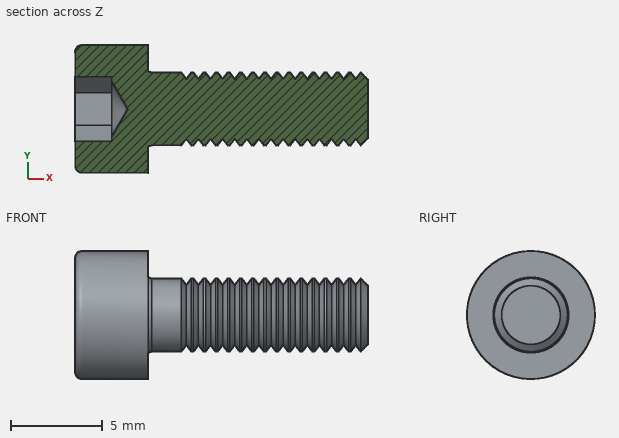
import cadquery as cq
import math

total_length = 16.0
head_diameter = 7.0
head_length = 4.0
head_edge_radius = 0.4
shank_diameter = 4.0

neck_length = 0.2
neck_flare = 0.06

groove_count = 15
first_groove_x = 6.08
groove_depth = 0.35
groove_half_width = 0.27
tip_chamfer = 0.4

socket_across_flats = 3.04
socket_depth = 2.0
socket_cone_angle = 120.0

head_radius = head_diameter / 2
shank_radius = shank_diameter / 2
root_radius = shank_radius - groove_depth
last_groove_x = total_length - tip_chamfer - groove_half_width
groove_pitch = (last_groove_x - first_groove_x) / (groove_count - 1)


def make_head():
    """Cylindrical head with a rounded outer edge."""
    head = cq.Workplane("YZ").circle(head_radius).extrude(head_length)
    return head.faces("<X").edges().fillet(head_edge_radius)


def make_shank():
    """Flared neck, plain shank, ring grooves and chamfered tip, revolved about X."""
    neck_end = head_length + neck_length
    profile = (
        cq.Workplane("XY")
        .moveTo(head_length, 0)
        .lineTo(head_length, shank_radius + neck_flare)
        .lineTo(neck_end, shank_radius)
    )
    for index in range(groove_count):
        groove_x = first_groove_x + index * groove_pitch
        profile = (
            profile.lineTo(groove_x - groove_half_width, shank_radius)
            .lineTo(groove_x, root_radius)
            .lineTo(groove_x + groove_half_width, shank_radius)
        )
    profile = (
        profile.lineTo(total_length, shank_radius - tip_chamfer)
        .lineTo(total_length, 0)
        .close()
    )
    return profile.revolve(360, (0, 0, 0), (1, 0, 0))


def make_socket():
    """Hexagonal prism, with corners along Y, ending in a cone."""
    corner_diameter = socket_across_flats / math.cos(math.radians(30))
    cone_radius = socket_across_flats / 2
    cone_length = cone_radius / math.tan(math.radians(socket_cone_angle / 2))
    prism = cq.Workplane("YZ").polygon(6, corner_diameter).extrude(socket_depth)
    cone = (
        cq.Workplane("XY")
        .moveTo(socket_depth, 0)
        .lineTo(socket_depth, cone_radius)
        .lineTo(socket_depth + cone_length, 0)
        .close()
        .revolve(360, (0, 0, 0), (1, 0, 0))
    )
    return prism.union(cone)


result = make_head().union(make_shank()).cut(make_socket())